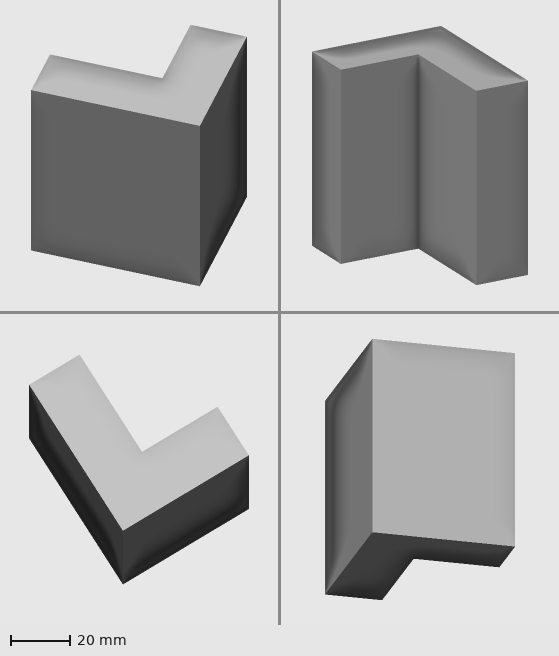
import cadquery as cq

height = 70.0
length_x = 60.0
length_y = 50.0
wall = 20.0

profile = [
    (0, 0),
    (length_x, 0),
    (length_x, length_y),
    (length_x - wall, length_y),
    (length_x - wall, wall),
    (0, wall),
]

result = cq.Workplane("XY").polyline(profile).close().extrude(height)